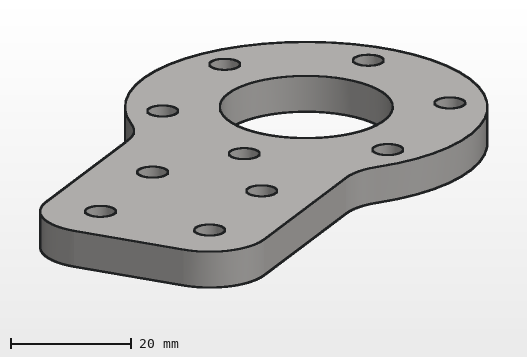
import cadquery as cq

length = 98.05
thickness = 6.4
disc_radius = 30.0
bar_width = 40.0
corner_radius = 10.0
neck_radius = 10.0
bore_diameter = 28.6
hole_diameter = 5.1
bolt_circle_radius = 23.8
bolt_count = 6
mount_spacing = 20.0

bar_end_y = disc_radius - length
mount_center_y = bar_end_y + corner_radius + mount_spacing / 2
neck_y = -((disc_radius**2 - (bar_width / 2) ** 2) ** 0.5)


def make_plate():
    """Round head blended into a straight bar with rounded end corners."""
    bar = (
        cq.Workplane("XY")
        .center(0, bar_end_y / 2)
        .rect(bar_width, -bar_end_y)
        .extrude(thickness)
        .edges("|Z and <Y")
        .fillet(corner_radius)
    )
    plate = cq.Workplane("XY").circle(disc_radius).extrude(thickness).union(bar)
    for side in (-1, 1):
        neck_point = (side * bar_width / 2, neck_y, thickness / 2)
        neck_edge = cq.selectors.NearestToPointSelector(neck_point)
        plate = plate.edges("|Z").edges(neck_edge).fillet(neck_radius)
    return plate


def cut_holes(plate):
    """Central bore, bolt circle around it and square mounting pattern in the bar."""
    top = plate.faces(">Z").workplane(origin=(0, 0, thickness))
    plate = top.hole(bore_diameter)
    top = plate.faces(">Z").workplane(origin=(0, 0, thickness))
    plate = top.polarArray(bolt_circle_radius, 90, 360, bolt_count).hole(hole_diameter)
    top = plate.faces(">Z").workplane(origin=(0, mount_center_y, thickness))
    return top.rarray(mount_spacing, mount_spacing, 2, 2).hole(hole_diameter)


result = cut_holes(make_plate())